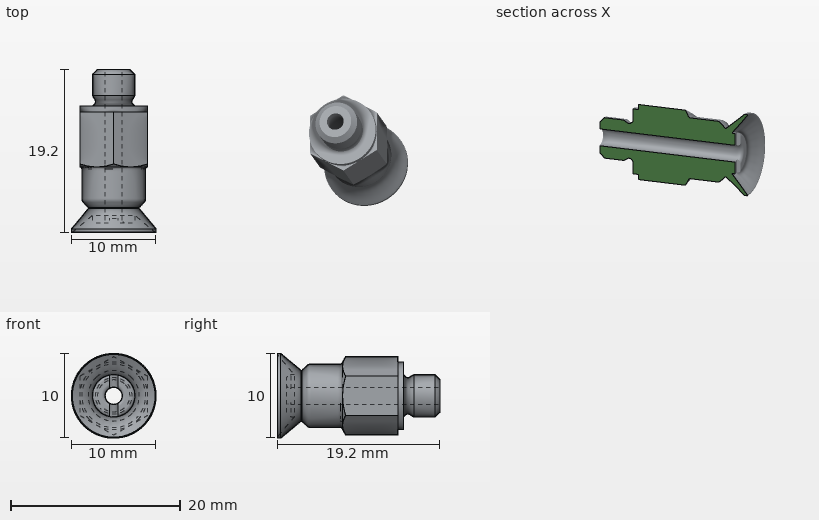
import cadquery as cq
import math


lip_height = 0.4
neck_front = 2.8
neck_back = 2.9
hex_front = 7.7
hex_back = 14.2
collar_back = 14.9
stud_front = 16.1
total_length = 19.2

cup_radius = 10.0 / 2
neck_radius = 3.0
lip_thickness = 0.12
cup_depth = 2.0

nub_radius = 5.0 / 2
nub_front = 1.1
nub_rounding = 0.4
slot_width = 1.0
slot_depth = 0.5
bore_radius = 2.0 / 2
bore_rounding = 0.4

body_radius = 7.5 / 2
bevel_back = 3.7
bevel_rounding = 0.6

across_flats = 8.0
hex_chamfer_angle = 30.0
collar_radius = across_flats / 2

stud_radius = 5.0 / 2
stud_chamfer = 0.6
groove_depth = 0.45
groove_stud_angle = 30.0
groove_rounding = 0.4


def rounded_corner(before, corner, after, radius):
    """Start, middle and end of the arc of the given radius that rounds a corner."""
    corner = cq.Vector(*corner)
    to_before = (cq.Vector(*before) - corner).normalized()
    to_after = (cq.Vector(*after) - corner).normalized()
    half_angle = to_before.getAngle(to_after) / 2
    setback = radius / math.tan(half_angle)
    bulge = radius / math.sin(half_angle) - radius
    start = corner + to_before * setback
    middle = corner + (to_before + to_after).normalized() * bulge
    end = corner + to_after * setback
    return [(point.x, point.y) for point in (start, middle, end)]


def revolved(profile):
    """Solid of revolution of an open (radius, y) profile that starts and ends on the Y axis."""
    return profile.close().revolve(360, (0, 0, 0), (0, 1, 0))


def make_turned_body():
    """Stud, collar, body, cup and nub, without the hexagon and the bore."""
    stud_edge = (stud_radius, stud_front)
    groove_run = groove_depth / math.tan(math.radians(groove_stud_angle))
    groove_bottom = (stud_radius - groove_depth, stud_front - groove_run)
    groove_foot = (groove_bottom[0] + groove_bottom[1] - collar_back, collar_back)
    groove_arc = rounded_corner(stud_edge, groove_bottom, groove_foot, groove_rounding)

    body_fillet = collar_radius - body_radius
    fillet_end = (body_radius, hex_front - body_fillet)
    fillet_arc = rounded_corner(
        (collar_radius, hex_front), (body_radius, hex_front), fillet_end, body_fillet
    )

    neck_edge = (neck_radius, neck_back)
    bevel_corner = (body_radius, bevel_back)
    bevel_arc = rounded_corner(fillet_end, bevel_corner, neck_edge, bevel_rounding)

    nub_base = (nub_radius, cup_depth)
    nub_corner = (nub_radius, nub_front)
    nub_arc = rounded_corner(nub_base, nub_corner, (0, nub_front), nub_rounding)

    profile = (
        cq.Workplane("XY")
        .moveTo(0, total_length)
        .lineTo(stud_radius - stud_chamfer, total_length)
        .lineTo(stud_radius, total_length - stud_chamfer)
        .lineTo(*stud_edge)
        .lineTo(*groove_arc[0])
        .threePointArc(*groove_arc[1:])
        .lineTo(*groove_foot)
        .lineTo(collar_radius, collar_back)
        .lineTo(collar_radius, hex_back)
        .lineTo(body_radius, hex_back)
        .lineTo(body_radius, hex_front)
        .lineTo(collar_radius, hex_front)
        .threePointArc(*fillet_arc[1:])
        .lineTo(*bevel_arc[0])
        .threePointArc(*bevel_arc[1:])
        .lineTo(*neck_edge)
        .lineTo(neck_radius, neck_front)
        .lineTo(cup_radius, lip_height)
        .lineTo(cup_radius, 0)
        .lineTo(cup_radius - lip_thickness, 0)
        .lineTo(*nub_base)
        .lineTo(*nub_arc[0])
        .threePointArc(*nub_arc[1:])
        .lineTo(0, nub_front)
    )
    return revolved(profile)


def make_hexagon():
    """Hexagon with flats facing -X and +X, its front corners turned to a cone."""
    corner_radius = across_flats / 2 / math.cos(math.pi / 6)
    prism = (
        cq.Workplane("XZ", origin=(0, hex_front, 0))
        .transformed(rotate=(0, 0, 90))
        .polygon(6, 2 * corner_radius)
        .extrude(hex_front - hex_back)
    )
    cone_slope = math.tan(math.radians(hex_chamfer_angle))
    cone_radius = across_flats / 2 + (hex_back - hex_front) / cone_slope
    envelope = revolved(
        cq.Workplane("XY")
        .moveTo(0, hex_front)
        .lineTo(across_flats / 2, hex_front)
        .lineTo(cone_radius, hex_back)
        .lineTo(0, hex_back)
    )
    return prism.intersect(envelope)


def make_bore():
    """Through bore whose mouth in the nub is rounded."""
    mouth_arc = rounded_corner(
        (nub_radius, nub_front), (bore_radius, nub_front), (bore_radius, total_length), bore_rounding
    )
    profile = (
        cq.Workplane("XY")
        .moveTo(0, nub_front)
        .lineTo(*mouth_arc[0])
        .threePointArc(*mouth_arc[1:])
        .lineTo(bore_radius, total_length)
        .lineTo(0, total_length)
    )
    return revolved(profile)


def make_slot():
    """Slot across the nub face, running along Z."""
    slot = cq.Workplane("XY", origin=(0, nub_front, 0))
    return slot.box(slot_width, slot_depth, 2 * nub_radius, centered=(True, False, True))


fitting = make_turned_body().union(make_hexagon())
result = fitting.cut(make_bore()).cut(make_slot())